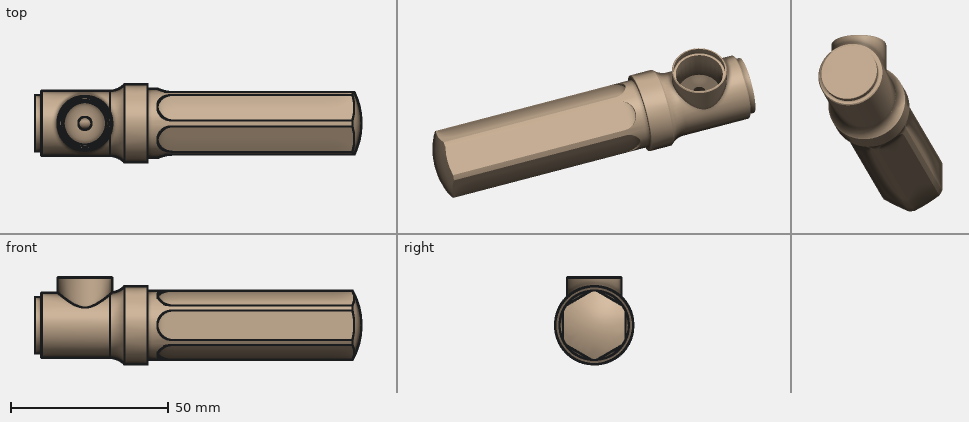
import cadquery as cq
import math

overall_length = 104.0

cap_length = 2.0
cap_radius = 9.0
cap_chamfer = 0.1

head_end = 23.9
head_radius = 10.4
head_chamfer = 0.3

port_x = 15.9
port_top = 15.3
port_radius = 8.7
port_chamfer = 0.3
port_recess_radius = 8.2
port_recess_depth = 2.4
port_bore_top_radius = 7.5
port_floor_radius = 6.8
port_floor = 3.1

shaft_radius = 2.1

band_start = 28.3
band_radius = 12.5
band_front_chamfer = 0.3
band_back_chamfer = 0.1
collar_end = 35.9

handle_radius = 11.0
flat_count = 6
flat_distance = 10.0
flat_start = 39.0
dome_height = 2.9


def revolve_about_x(outline):
    """Revolve a closed outline, drawn with its X along the axis and its Y as the radius."""
    return outline.revolve(360, (0, 0, 0), (1, 0, 0))


def cylinder_along_x(start, end, radius):
    return cq.Workplane("YZ", origin=(start, 0, 0)).circle(radius).extrude(end - start)


def cylinder_along_z(bottom, top, radius):
    return cq.Workplane("XY", origin=(port_x, 0, bottom)).circle(radius).extrude(top - bottom)


def make_cap():
    return cylinder_along_x(0, cap_length, cap_radius).faces("<X").chamfer(cap_chamfer)


def make_shaft():
    return cylinder_along_x(cap_length, head_end, shaft_radius)


def make_port_cavity():
    """Recess below the rim, then a tapered bore down to the flat floor."""
    ledge = port_top - port_recess_depth
    outline = (
        cq.Workplane("XZ", origin=(port_x, 0, 0))
        .moveTo(0, port_floor)
        .lineTo(port_floor_radius, port_floor)
        .lineTo(port_bore_top_radius, ledge)
        .lineTo(port_recess_radius, ledge)
        .lineTo(port_recess_radius, port_top)
        .lineTo(0, port_top)
        .close()
    )
    return outline.revolve(360, (0, 0, 0), (0, 1, 0))


def make_head(shaft, collar):
    barrel = cylinder_along_x(cap_length, head_end, head_radius)
    barrel = barrel.faces("<X").chamfer(head_chamfer)
    port = cylinder_along_z(0, port_top, port_radius).faces(">Z").chamfer(port_chamfer)
    floor_hole = cylinder_along_z(0, port_floor, shaft_radius)
    head = barrel.union(port).cut(make_port_cavity()).cut(floor_hole)
    return head.cut(shaft).cut(collar)


def make_collar():
    flare_length = band_start - head_end
    flare_rise = band_radius - band_front_chamfer - head_radius
    flare_radius = (flare_length**2 + flare_rise**2) / (2 * flare_rise)
    half_sweep = math.asin(flare_length / flare_radius) / 2
    flare_middle = (
        head_end + flare_radius * math.sin(half_sweep),
        head_radius + flare_radius * (1 - math.cos(half_sweep)),
    )
    outline = (
        cq.Workplane("XY")
        .moveTo(head_end, 0)
        .lineTo(head_end, head_radius)
        .threePointArc(flare_middle, (band_start, head_radius + flare_rise))
        .lineTo(band_start + band_front_chamfer, band_radius)
        .lineTo(collar_end - band_back_chamfer, band_radius)
        .lineTo(collar_end, band_radius - band_back_chamfer)
        .lineTo(collar_end, 0)
        .close()
    )
    return revolve_about_x(outline)


def make_flat_cutter():
    """Cutter for the flat facing -Y, with a half-round end towards the collar."""
    half_width = math.sqrt(handle_radius**2 - flat_distance**2)
    outline = (
        cq.Workplane("XZ", origin=(0, -flat_distance, 0))
        .moveTo(flat_start + half_width, half_width)
        .threePointArc((flat_start, 0), (flat_start + half_width, -half_width))
        .lineTo(overall_length, -half_width)
        .lineTo(overall_length, half_width)
        .close()
    )
    return outline.extrude(handle_radius)


def make_handle():
    dome_radius = (handle_radius**2 + dome_height**2) / (2 * dome_height)
    half_sweep = math.asin(handle_radius / dome_radius) / 2
    dome_middle = (
        overall_length - dome_radius * (1 - math.cos(half_sweep)),
        dome_radius * math.sin(half_sweep),
    )
    outline = (
        cq.Workplane("XY")
        .moveTo(collar_end, 0)
        .lineTo(collar_end, handle_radius)
        .lineTo(overall_length - dome_height, handle_radius)
        .threePointArc(dome_middle, (overall_length, 0))
        .close()
    )
    handle = revolve_about_x(outline)
    cutter = make_flat_cutter()
    for index in range(flat_count):
        turn = index * 360 / flat_count
        handle = handle.cut(cutter.rotate((0, 0, 0), (1, 0, 0), turn))
    return handle


cap = make_cap()
shaft = make_shaft()
collar = make_collar()
head = make_head(shaft, collar)
handle = make_handle()

result = cq.Compound.makeCompound([cap.val(), shaft.val(), head.val(), collar.val(), handle.val()])